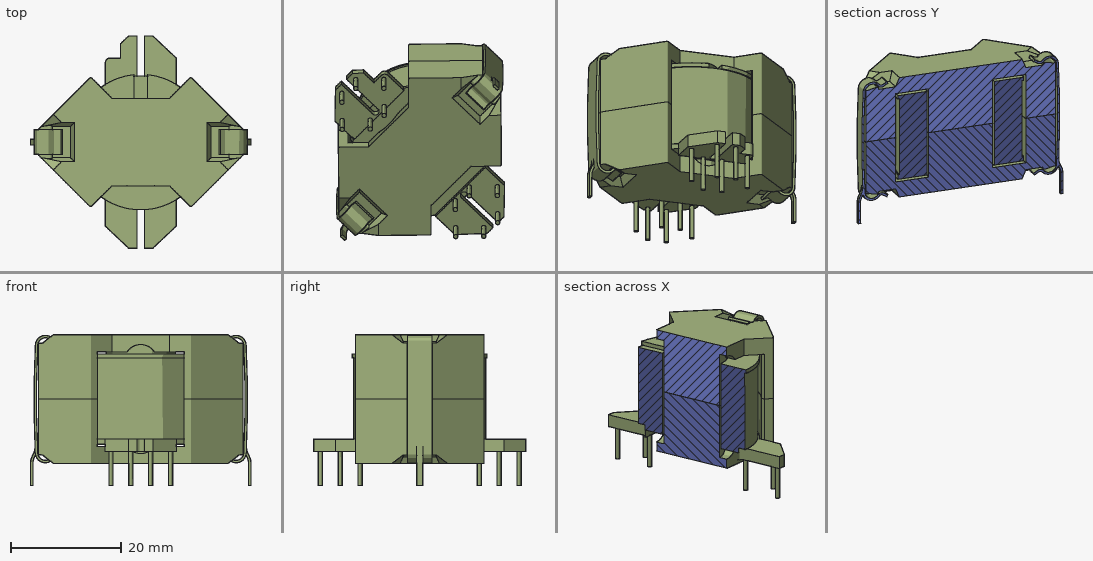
import cadquery as cq
import math


core_half_height = 11.7
core_end_x = 18.57
core_tip_x = 9.1
core_tip_y = 11.8
core_tip_round = 0.32
waist_half_width = 7.93
window_half_height = 8.55
window_half_width = 7.85
core_bore_dia = 25.38
post_dia = 12.6
core_end_y = core_tip_x + core_tip_y - core_end_x
waist_corner_x = core_tip_x - (core_tip_y - waist_half_width)

arch_radius = 2.95
arch_top_z = 9.9

pocket_x = 12.0
pocket_half_width = 3.55
pocket_depth = 1.7
pocket_wall_run = 0.75
ridge_inner_x = 16.0
ridge_depth = 1.12
ridge_round = 0.45
lip_x = 18.1
lip_depth = 1.55
facet_start_x = 15.85
facet_length = 2.9
facet_width = 2.2

bobbin_bore_dia = 13.1
winding_dia = 24.0
flange_dia = 24.58
top_flange_z = 7.5
top_flange_thickness = 0.72
bottom_flange_z = -8.2
bottom_flange_thickness = 0.95
flange_notch_width = 2.52

terminal_half_width = 6.45
terminal_inner_y = 10.33
terminal_outer_y = 19.25
terminal_shoulder_y = 15.25
terminal_tip_half_width = 2.2
terminal_top_z = bottom_flange_z + bottom_flange_thickness
terminal_thickness = 2.3
terminal_slot_width = 1.32
terminal_slot_end_y = 10.6
key_x = 3.7
key_round = 0.9

pin_dia = 0.8
pin_pitch = 3.6
pin_tip_z = -15.7

clip_thickness = 0.5
clip_width = 4.5
clip_mid_x = 19.15
bow_radius = 200.15
bow_half_height = 9.8
hook_radius = 1.6
hook_end_angle = 140.0
catch_radius = 0.72
catch_lip_angle = 30.0
catch_lip_length = 0.95
tab_width = 1.12
tab_top_z = -8.55
tab_turn_z = -10.33
tab_bend_end_z = -core_half_height
tab_outer_x = 20.0


def both_ends(body):
    """The body together with its mirror image at the other X end."""
    return body.union(body.mirror("YZ"))


def both_sides(body):
    """The body together with its mirror image at the other Y side."""
    return body.union(body.mirror("XZ"))


def disc(diameter, bottom, height):
    return cq.Workplane("XY").workplane(offset=bottom).circle(diameter / 2).extrude(height)


def core_block():
    quarter = [
        (core_end_x, core_end_y),
        (core_tip_x, core_tip_y),
        (waist_corner_x, waist_half_width),
    ]
    upper = quarter + [(-x, y) for x, y in reversed(quarter)]
    lower = [(-x, -y) for x, y in upper]
    block = cq.Workplane("XY").polyline(upper + lower).close().extrude(core_half_height)
    return block.edges("|Z and (>Y or <Y)").fillet(core_tip_round)


def winding_space():
    bore = disc(core_bore_dia, 0, window_half_height)
    opening = cq.Workplane("XY").rect(2 * window_half_width, 3 * core_tip_y).extrude(window_half_height)
    return bore.union(opening)


def lead_arch():
    return (
        cq.Workplane("XZ")
        .center(0, arch_top_z - arch_radius)
        .circle(arch_radius)
        .extrude(core_tip_y, both=True)
    )


def clip_pocket():
    length = core_end_x
    taper = math.degrees(math.atan(pocket_wall_run / pocket_depth))
    return (
        cq.Workplane("XY")
        .workplane(offset=core_half_height)
        .center(pocket_x + length / 2, 0)
        .rect(length, 2 * pocket_half_width)
        .extrude(-pocket_depth, taper=taper)
    )


def clip_ridge():
    floor_z = core_half_height - pocket_depth
    lip_z = core_half_height - lip_depth
    ridge = (
        cq.Workplane("XZ", origin=(0, pocket_half_width, 0))
        .polyline([
            (ridge_inner_x, floor_z),
            (ridge_inner_x, core_half_height - ridge_depth),
            (lip_x, lip_z),
            (core_end_x, lip_z),
            (core_end_x, floor_z),
        ])
        .close()
        .extrude(2 * pocket_half_width)
    )
    return ridge.edges("|Y and >Z").fillet(ridge_round)


def end_facets():
    """Sloped cuts down the oblique sides, on both sides of a pocket."""
    start_y = core_tip_x + core_tip_y - facet_start_x
    slope_plane = cq.Plane(
        origin=(facet_start_x, start_y, core_half_height), xDir=(1, -1, 0), normal=(-1, -1, 0)
    )
    facet = (
        cq.Workplane(slope_plane)
        .polyline([
            (0, 0),
            (facet_length, -lip_depth),
            (2 * facet_length, -lip_depth),
            (2 * facet_length, 0),
        ])
        .close()
        .extrude(facet_width, both=True)
    )
    return both_sides(facet)


def make_core_half():
    block = core_block()
    ridge = clip_ridge().intersect(clip_pocket()).intersect(block)
    post = disc(post_dia, 0, core_half_height)
    return (
        block.cut(winding_space())
        .cut(lead_arch())
        .union(post)
        .cut(both_ends(end_facets()))
        .cut(both_ends(clip_pocket()))
        .union(both_ends(ridge))
    )


def terminal_block():
    """Block on the +Y side that carries six pins."""
    return (
        cq.Workplane("XY")
        .workplane(offset=terminal_top_z - terminal_thickness)
        .polyline([
            (-terminal_half_width, terminal_inner_y),
            (terminal_half_width, terminal_inner_y),
            (terminal_half_width, terminal_shoulder_y),
            (terminal_tip_half_width, terminal_outer_y),
            (-terminal_tip_half_width, terminal_outer_y),
            (-terminal_half_width, terminal_shoulder_y),
        ])
        .close()
        .extrude(terminal_thickness)
    )


def terminal_slot():
    """Round-ended slot from the outer edge of the +Y block into the bottom flange."""
    slot_length = terminal_outer_y - terminal_slot_end_y
    return (
        cq.Workplane("XY")
        .workplane(offset=terminal_top_z)
        .center(0, terminal_outer_y)
        .slot2D(2 * slot_length, terminal_slot_width, 90)
        .extrude(-terminal_thickness)
    )


def key_cut():
    """Corner cut in the terminal block, with the corner left beside it rounded."""
    x_outer = -terminal_half_width
    return (
        cq.Workplane("XY")
        .moveTo(-key_x, terminal_shoulder_y)
        .lineTo(x_outer + key_round, terminal_shoulder_y)
        .radiusArc((x_outer, terminal_shoulder_y - key_round), -key_round)
        .lineTo(x_outer, terminal_outer_y)
        .lineTo(-key_x, terminal_outer_y)
        .close()
        .extrude(-core_half_height)
    )


def pins():
    places = [
        (side_x * column * pin_pitch, side_y * row * pin_pitch)
        for column, row in [(0.5, 5), (1.5, 4), (0.5, 3)]
        for side_x in (-1, 1)
        for side_y in (-1, 1)
    ]
    return (
        cq.Workplane("XY")
        .workplane(offset=pin_tip_z)
        .pushPoints(places)
        .circle(pin_dia / 2)
        .extrude(bottom_flange_z - pin_tip_z)
    )


def make_bobbin():
    bobbin_height = top_flange_z + top_flange_thickness - bottom_flange_z
    winding = disc(winding_dia, bottom_flange_z, top_flange_z - bottom_flange_z)
    bottom_flange = disc(flange_dia, bottom_flange_z, bottom_flange_thickness)
    lead_notch = (
        cq.Workplane("XY")
        .workplane(offset=top_flange_z)
        .center(0, flange_dia / 4)
        .rect(flange_notch_width, flange_dia / 2)
        .extrude(top_flange_thickness)
    )
    top_flange = disc(flange_dia, top_flange_z, top_flange_thickness).cut(lead_notch)
    spool = winding.union(bottom_flange).union(top_flange)
    spool = spool.cut(disc(bobbin_bore_dia, bottom_flange_z, bobbin_height))
    terminals = both_sides(terminal_block()).cut(key_cut())
    return spool.union(terminals).cut(both_sides(terminal_slot())).union(pins())


def around(center, radius, angle):
    """Point on a circle in the XZ plane, the angle in degrees from +X."""
    turn = math.radians(angle)
    return (center[0] + radius * math.cos(turn), center[1] + radius * math.sin(turn))


def upper_strip():
    """Upper half of the bowed strip, with the hook that snaps into the core pocket."""
    bow_angle = math.degrees(math.asin(bow_half_height / bow_radius))
    bow_center = (clip_mid_x - bow_radius, 0)
    hook_center = around(bow_center, bow_radius - hook_radius, bow_angle)
    catch_center = around(hook_center, hook_radius + catch_radius, hook_end_angle)
    catch_end_angle = -90 - catch_lip_angle
    catch_end = around(catch_center, catch_radius, catch_end_angle)
    path = (
        cq.Workplane("XZ")
        .moveTo(clip_mid_x, 0)
        .threePointArc(
            around(bow_center, bow_radius, bow_angle / 2),
            around(bow_center, bow_radius, bow_angle),
        )
        .threePointArc(
            around(hook_center, hook_radius, 90),
            around(hook_center, hook_radius, hook_end_angle),
        )
        .threePointArc(around(catch_center, catch_radius, -90), catch_end)
        .lineTo(*around(catch_end, catch_lip_length, 180 - catch_lip_angle))
    )
    return cq.Workplane("XY").center(clip_mid_x, 0).rect(clip_thickness, clip_width).sweep(path)


def solder_tab():
    """Narrow tab that leaves the strip in an S bend and goes straight down."""
    tab_x = tab_outer_x - clip_thickness / 2
    root_x = clip_mid_x - tab_top_z**2 / (2 * bow_radius)
    turn_share = (tab_turn_z - tab_bend_end_z) / (tab_top_z - tab_bend_end_z)
    turn_x = tab_x + turn_share * (root_x - tab_x)
    path = (
        cq.Workplane("XZ")
        .moveTo(tab_x, pin_tip_z)
        .lineTo(tab_x, tab_bend_end_z)
        .tangentArcPoint((turn_x, tab_turn_z), relative=False)
        .tangentArcPoint((root_x, tab_top_z), relative=False)
    )
    return (
        cq.Workplane("XY")
        .workplane(offset=pin_tip_z)
        .center(tab_x, 0)
        .rect(clip_thickness, tab_width)
        .sweep(path)
    )


def make_clip():
    strip = upper_strip()
    return strip.union(strip.mirror("XY")).union(solder_tab())


upper_core = make_core_half()
lower_core = upper_core.mirror("XY")
bobbin = make_bobbin()
right_clip = make_clip()
left_clip = right_clip.mirror("YZ")

result = cq.Compound.makeCompound(
    [upper_core.val(), lower_core.val(), bobbin.val(), right_clip.val(), left_clip.val()]
)